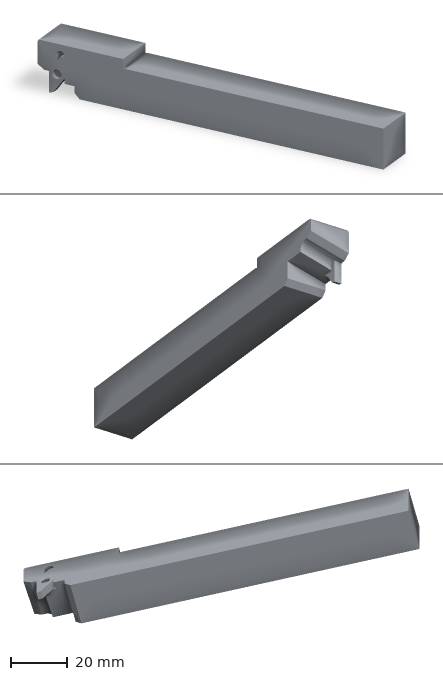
import cadquery as cq
import math

LENGTH = 140.0
WIDTH = 16.0
HEAD_TOP = 19.5
SHANK_TOP = 15.8
HEAD_LENGTH = 34.7
NOSE_CHAMFER_X = 0.5
NOSE_CHAMFER_Z = 0.8
RELIEF_WIDTH = 1.3
RELIEF_DEPTH = 0.3

CLEARANCE = 15.0
NOSE_BOTTOM = 10.1
LEDGE_START = 2.7
LEDGE_Z = 8.3
THROAT_START = 3.8
THROAT_RADIUS = 3.0
SHELF_Z = 4.6
SHANK_FRONT = 15.0
FOOT_CHAMFER = 2.1

OVERRUN = 1.4

INSERT_LEFT = 4.8
INSERT_WIDTH = 6.3
INSERT_DEPTH = 3.0
INSERT_HEIGHT = 15.3
TIP_FLAT = 1.7
TIP_RISE = 0.4
FLANK_HEIGHT = 8.4
HOLE_RADIUS = 1.4
HOLE_DEPTH = 1.1
HOLE_RIM_RADIUS = 1.8
SLOT_WIDTH = 3.4
SLOT_TOP = 17.0

INSERT_RIGHT = INSERT_LEFT + INSERT_WIDTH
INSERT_CENTER = (INSERT_LEFT + INSERT_WIDTH / 2, INSERT_HEIGHT / 2)


def extrude_back(sketch, depth):
    """Extrude an XZ outline from the front face toward +Y."""
    return sketch.extrude(-depth)


def blank():
    """Side outline of head and shank, with the relief at the shoulder."""
    outline = (
        cq.Workplane("XZ")
        .moveTo(0, 0)
        .lineTo(LENGTH, 0)
        .lineTo(LENGTH, SHANK_TOP)
        .lineTo(HEAD_LENGTH + RELIEF_WIDTH, SHANK_TOP)
        .lineTo(HEAD_LENGTH, SHANK_TOP - RELIEF_DEPTH)
        .lineTo(HEAD_LENGTH, HEAD_TOP)
        .lineTo(NOSE_CHAMFER_X, HEAD_TOP)
        .lineTo(0, HEAD_TOP - NOSE_CHAMFER_Z)
        .close()
    )
    return extrude_back(outline, WIDTH)


def underside_cut():
    """Clearance below the head, swept along the inclined clearance direction."""
    rise = WIDTH * math.tan(math.radians(CLEARANCE))
    below = -rise - OVERRUN
    diagonal = THROAT_RADIUS * math.sqrt(0.5)
    throat_center_z = LEDGE_Z - THROAT_RADIUS
    bevel_slope = (NOSE_BOTTOM - LEDGE_Z) / LEDGE_START
    face = (
        cq.Workplane("XZ")
        .moveTo(-OVERRUN, below)
        .lineTo(-OVERRUN, NOSE_BOTTOM + OVERRUN * bevel_slope)
        .lineTo(LEDGE_START, LEDGE_Z)
        .lineTo(THROAT_START, LEDGE_Z)
        .threePointArc(
            (THROAT_START + diagonal, throat_center_z + diagonal),
            (THROAT_START + THROAT_RADIUS, throat_center_z),
        )
        .lineTo(THROAT_START + THROAT_RADIUS, SHELF_Z)
        .lineTo(SHANK_FRONT, SHELF_Z)
        .lineTo(SHANK_FRONT, below)
        .close()
        .wires()
        .val()
    )
    return cq.Workplane(
        cq.Solid.extrudeLinear(face, [], cq.Vector(0, WIDTH, rise))
    )


def foot_chamfer_cut():
    """Bevel at the lower front corner of the shank."""
    corner = cq.Workplane("XZ").polyline([
        (SHANK_FRONT, 0),
        (SHANK_FRONT + FOOT_CHAMFER, 0),
        (SHANK_FRONT, FOOT_CHAMFER),
    ]).close()
    return extrude_back(corner, WIDTH)


def insert_blank():
    """Two-tipped insert plate, unchanged by a half turn about its hole."""
    half = [
        (INSERT_LEFT, FLANK_HEIGHT),
        (INSERT_LEFT, 0),
        (INSERT_LEFT + TIP_FLAT, TIP_RISE),
    ]
    cx, cz = INSERT_CENTER
    turned = [(2 * cx - x, 2 * cz - z) for x, z in half]
    return extrude_back(cq.Workplane("XZ").polyline(half + turned).close(), INSERT_DEPTH)


def pocket_cut():
    """Insert seat plus the round-ended slot that clears the upper tip."""
    radius = SLOT_WIDTH / 2
    slot = (
        cq.Workplane("XZ")
        .moveTo(INSERT_RIGHT, SHELF_Z - OVERRUN)
        .lineTo(INSERT_RIGHT, SLOT_TOP - radius)
        .threePointArc(
            (INSERT_RIGHT - radius, SLOT_TOP),
            (INSERT_RIGHT - SLOT_WIDTH, SLOT_TOP - radius),
        )
        .lineTo(INSERT_RIGHT - SLOT_WIDTH, SHELF_Z - OVERRUN)
        .close()
    )
    return extrude_back(slot, INSERT_DEPTH).union(insert_blank())


def make_holder():
    return blank().cut(underside_cut()).cut(foot_chamfer_cut()).cut(pocket_cut())


def make_insert():
    """Insert plate with a blind round recess and a beveled rim at the front face."""
    cx, cz = INSERT_CENTER
    hole = extrude_back(cq.Workplane("XZ").center(cx, cz).circle(HOLE_RADIUS), HOLE_DEPTH)
    rim = cq.Workplane(cq.Solid.makeCone(
        HOLE_RIM_RADIUS, HOLE_RADIUS, HOLE_RIM_RADIUS - HOLE_RADIUS,
        pnt=cq.Vector(cx, 0, cz), dir=cq.Vector(0, 1, 0),
    ))
    return insert_blank().cut(hole).cut(rim)


holder = make_holder()
insert = make_insert()

result = cq.Compound.makeCompound([holder.val(), insert.val()])